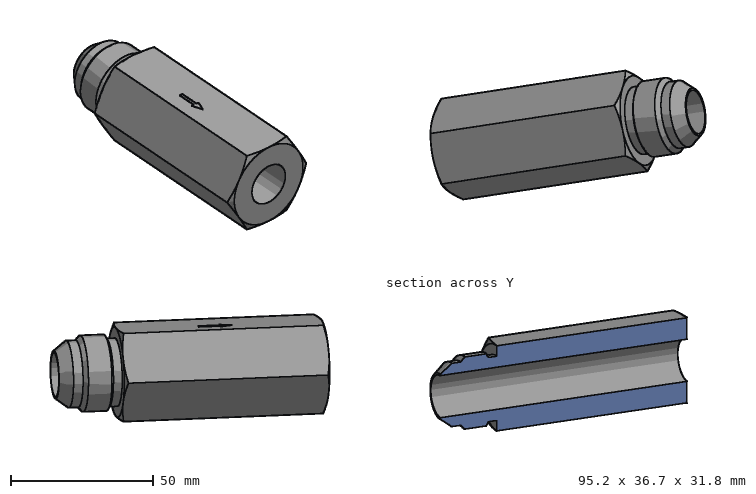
import cadquery as cq
import math

total_length = 95.25
hex_sides = 6
hex_across_flats = 31.75
hex_length = 73.4
hex_start = total_length - hex_length

bore_diameter = 15.47
nose_tip_diameter = 16.9
nose_diameter = 23.7
flare_angle = 37
nose_end = 7.9

thread_diameter = 26.98
thread_lead_angle = 45
thread_end = 17.9
thread_back_angle = 60
neck_diameter = 24.05

hex_chamfer_angle = 23

arrow_tail_x = 50.9
arrow_center_y = -2.5
arrow_length = 11.8
arrow_head_length = 4.1
arrow_head_width = 3.0
arrow_shaft_width = 1.2
arrow_depth = 0.15


def taper_length(small_diameter, large_diameter, angle):
    """Axial length of a cone whose side leans at the given angle to the axis."""
    return (large_diameter - small_diameter) / 2 / math.tan(math.radians(angle))


def make_stem():
    """Turned end: flared nose, threaded collar and neck."""
    flare_end = taper_length(nose_tip_diameter, nose_diameter, flare_angle)
    thread_start = nose_end + taper_length(nose_diameter, thread_diameter, thread_lead_angle)
    neck_start = thread_end + taper_length(neck_diameter, thread_diameter, thread_back_angle)
    return (
        cq.Workplane("XY")
        .moveTo(0, 0)
        .lineTo(0, nose_tip_diameter / 2)
        .lineTo(flare_end, nose_diameter / 2)
        .lineTo(nose_end, nose_diameter / 2)
        .lineTo(thread_start, thread_diameter / 2)
        .lineTo(thread_end, thread_diameter / 2)
        .lineTo(neck_start, neck_diameter / 2)
        .lineTo(hex_start, neck_diameter / 2)
        .lineTo(hex_start, 0)
        .close()
        .revolve(360, (0, 0, 0), (1, 0, 0))
    )


def make_hex_body():
    """Hexagon with flats at top and bottom, its corners turned off at both ends."""
    across_corners = hex_across_flats / math.cos(math.pi / hex_sides)
    chamfer_radial = (across_corners - hex_across_flats) / 2
    chamfer_axial = chamfer_radial * math.tan(math.radians(hex_chamfer_angle))
    hexagon = (
        cq.Workplane("YZ", origin=(hex_start, 0, 0))
        .polygon(hex_sides, across_corners)
        .extrude(hex_length)
    )
    turned_envelope = (
        cq.Workplane("XY")
        .moveTo(hex_start, 0)
        .lineTo(hex_start, hex_across_flats / 2)
        .lineTo(hex_start + chamfer_axial, across_corners / 2)
        .lineTo(total_length - chamfer_axial, across_corners / 2)
        .lineTo(total_length, hex_across_flats / 2)
        .lineTo(total_length, 0)
        .close()
        .revolve(360, (0, 0, 0), (1, 0, 0))
    )
    return hexagon.intersect(turned_envelope)


def make_bore():
    """Passage through the whole length."""
    return cq.Workplane("YZ").circle(bore_diameter / 2).extrude(total_length)


def make_arrow():
    """Shallow arrow-shaped cutter pointing along +X."""
    shaft_length = arrow_length - arrow_head_length
    return (
        cq.Workplane("XY", origin=(arrow_tail_x, arrow_center_y, hex_across_flats / 2))
        .polyline([
            (0, -arrow_shaft_width / 2),
            (shaft_length, -arrow_shaft_width / 2),
            (shaft_length, -arrow_head_width / 2),
            (arrow_length, 0),
            (shaft_length, arrow_head_width / 2),
            (shaft_length, arrow_shaft_width / 2),
            (0, arrow_shaft_width / 2),
        ])
        .close()
        .extrude(-arrow_depth)
    )


result = make_stem().union(make_hex_body()).cut(make_bore()).cut(make_arrow())